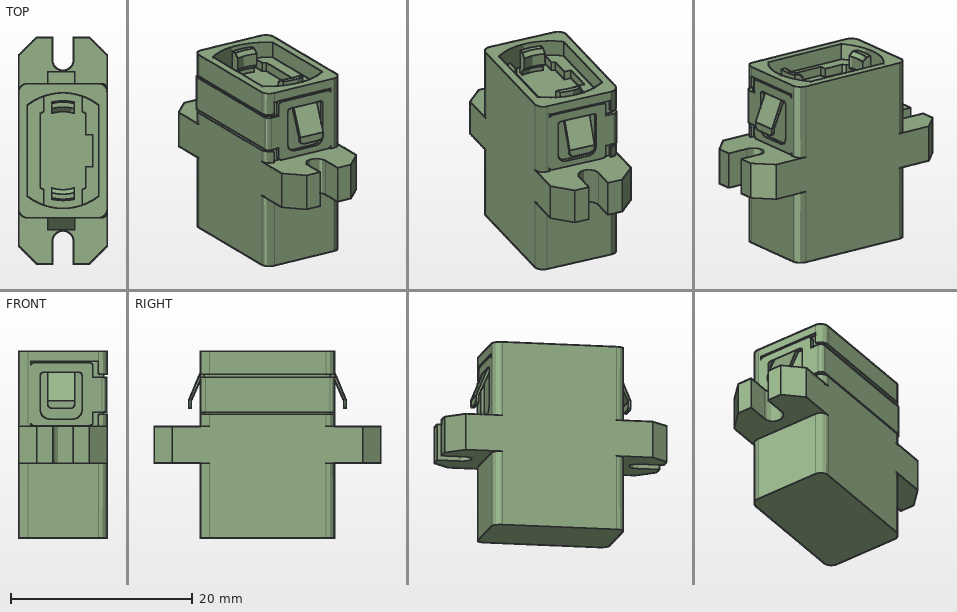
import cadquery as cq

body_width = 9.8
body_length = 14.8
body_height = 20.6
body_corner_radius = 1
flange_length = 25
flange_thickness = 4.05
flange_chamfer = 2
slot_spacing = 20
slot_radius = 1.15

socket_half_width = 3.92
socket_end_radius = 6.38
socket_depth = 1.8
well_half_width = 2.5
well_end_radius = 4.8
well_bay_half_width = 2.1
well_depth = 1
keyway_reach = 3.3
keyway_length = 3.5

latch_width = 2.5
latch_tip_radius = 4.3
latch_heel_radius = 5.5
latch_back_radius = 5.35
latch_bevel_drop = 0.45
latch_undercut_drop = 1.8
latch_undercut_rise = 0.5

clip_thickness = 0.3
clip_bend_radius = 0.55
recess_depth = 0.4
recess_bend_radius = 0.5
recess_left = -3.55
recess_right = body_width / 2 - body_corner_radius
recess_top = 9.18
recess_corner_radius = 0.2
channel_bottom = 3.38
channel_top = 7.75
plate_left = -3.6
plate_right = 3.3
plate_bottom = 2.1
plate_top = 9.02
plate_corner_radius = 0.4
strap_bottom = 3.6
strap_top = 7.42

lever_x = -0.2
lever_width = 3
lever_bend_z = 4.85
lever_end_z = 4
lever_reach = 1.3
lever_corner_radius = 0.5
window_width = 4.6
window_bottom = 2.82
window_top = 7.98
window_top_radius = 0.35
window_bottom_radius = 1

half_width = body_width / 2
half_length = body_length / 2
body_top = body_height / 2
flange_top = flange_thickness / 2
socket_floor = body_top - socket_depth
well_floor = socket_floor - well_depth


def block(x_min, x_max, y_min, y_max, z_min, z_max):
    """Box given by its limits along each axis."""
    size = (x_max - x_min, y_max - y_min, z_max - z_min)
    return cq.Workplane("XY").box(*size, centered=False).translate((x_min, y_min, z_min))


def panel(x_min, x_max, z_min, z_max):
    """Box given by its X and Z limits that spans the whole body along Y."""
    return block(x_min, x_max, -flange_length / 2, flange_length / 2, z_min, z_max)


def cylinder(radius, z_min, z_max):
    """Cylinder about the Z axis."""
    return cq.Workplane("XY").workplane(offset=z_min).circle(radius).extrude(z_max - z_min)


def both_ends(shape):
    """A shape together with its mirror image across the XZ plane."""
    return shape.union(shape.mirror("XZ"))


def make_housing():
    """Rounded body with a chamfered flange that has an open screw slot at each end."""
    body = cq.Workplane("XY").box(body_width, body_length, body_height)
    body = body.edges("|Z").fillet(body_corner_radius)
    flange = cq.Workplane("XY").box(body_width, flange_length, flange_thickness)
    flange = flange.edges("|Z").chamfer(flange_chamfer)
    slot_center = slot_spacing / 2
    hole = cylinder(slot_radius, -flange_top, flange_top).translate((0, slot_center, 0))
    mouth = block(-slot_radius, slot_radius, slot_center, flange_length / 2, -flange_top, flange_top)
    return body.union(flange.cut(both_ends(hole.union(mouth))))


def make_socket():
    """Socket and the deeper well in its floor."""
    socket = cylinder(socket_end_radius, socket_floor, body_top)
    socket = socket.intersect(panel(-socket_half_width, socket_half_width, socket_floor, body_top))
    well = cylinder(well_end_radius, well_floor, socket_floor)
    well = well.intersect(panel(-well_half_width, well_half_width, well_floor, socket_floor))
    bays = cylinder(socket_end_radius, well_floor, socket_floor)
    bays = bays.intersect(panel(-well_bay_half_width, well_bay_half_width, well_floor, socket_floor))
    keyway = block(0, keyway_reach, -keyway_length / 2, keyway_length / 2, well_floor, socket_floor)
    return socket.union(well).union(bays).union(keyway)


def make_latches():
    """Hooks cut from a turned ring standing on the well floor."""
    undercut_z = body_top - latch_undercut_drop
    profile = [
        (latch_heel_radius, well_floor),
        (latch_back_radius, undercut_z),
        (latch_back_radius, body_top),
        (well_end_radius, body_top),
        (latch_tip_radius, body_top - latch_bevel_drop),
        (latch_tip_radius, undercut_z),
        (well_end_radius, undercut_z - latch_undercut_rise),
        (well_end_radius, well_floor),
    ]
    ring = cq.Workplane("XZ").polyline(profile).close().revolve(360, (0, 0), (0, 1))
    return ring.intersect(panel(-latch_width / 2, latch_width / 2, well_floor, body_top))


def wrap_core(x_face, y_face, bend_radius):
    """Block with a face at +X and both Y ends, rounded where the clip bends around it."""
    core = block(-half_width, x_face, -y_face, y_face, -body_top, body_top)
    return core.edges("|Z and >X").fillet(bend_radius)


recess_core = wrap_core(half_width - recess_depth, half_length - recess_depth, recess_bend_radius)


def make_recess():
    """Shallow pocket in both Y ends, joined by a channel around the +X side."""
    outline = panel(recess_left, recess_right, flange_top, recess_top)
    outline = outline.union(panel(recess_left, body_width, channel_bottom, channel_top))
    margin = recess_corner_radius / 2
    reentrant = cq.selectors.BoxSelector(
        (recess_right - margin, -flange_length, channel_bottom - margin),
        (recess_right + margin, flange_length, channel_top + margin),
    )
    outline = outline.edges("|Y").edges(reentrant).fillet(recess_corner_radius)
    return outline.cut(recess_core)


def make_clip():
    """Windowed plate on both Y ends, joined by a strap around the +X side."""
    plate = panel(plate_left, plate_right, plate_bottom, plate_top)
    plate = plate.edges("|Y").fillet(plate_corner_radius)
    strap = panel(lever_x, half_width, strap_bottom, strap_top)
    clip_face = half_width - recess_depth + clip_thickness
    shell = wrap_core(clip_face, half_length, clip_bend_radius).cut(recess_core)
    window_left = lever_x - window_width / 2
    window = panel(window_left, window_left + window_width, window_bottom, window_top)
    window = window.edges("|Y and >Z").fillet(window_top_radius)
    window = window.edges("|Y and <Z").fillet(window_bottom_radius)
    return shell.intersect(plate.union(strap)).cut(window)


def make_lever():
    """Bent spring tongue at the -Y end, hanging from the top of the window."""
    root_y = -half_length
    tip_y = root_y - lever_reach
    profile = [
        (root_y + recess_depth, window_top),
        (root_y, window_top),
        (tip_y, lever_bend_z),
        (tip_y, lever_end_z),
        (tip_y + clip_thickness, lever_end_z),
        (tip_y + clip_thickness, lever_bend_z),
    ]
    lever = cq.Workplane("YZ").polyline(profile).close().extrude(lever_width / 2, both=True)
    lever = lever.edges("|Y and <Z").fillet(lever_corner_radius)
    return lever.translate((lever_x, 0, 0))


result = make_housing().cut(make_socket()).union(make_latches())
result = result.cut(make_recess()).union(make_clip()).union(both_ends(make_lever()))